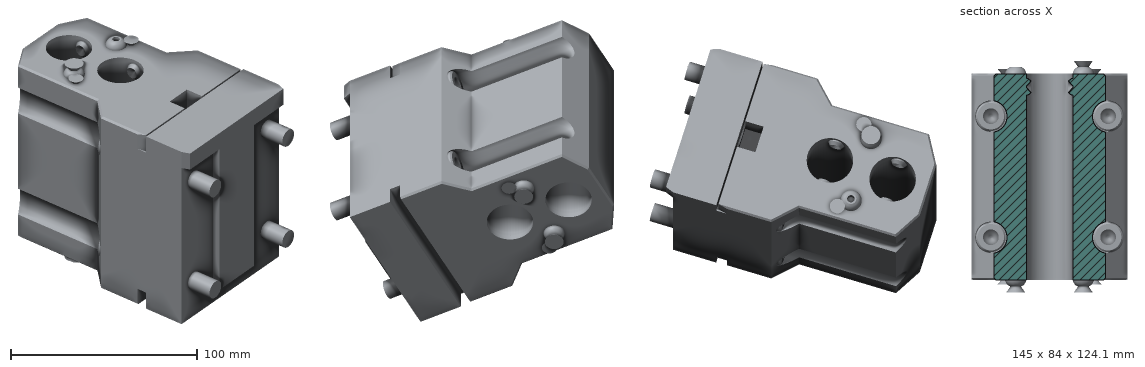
import cadquery as cq


overall_height = 124.1
body_height = 110.6
overall_width = 84.0
wide_half = overall_width / 2
neck_half = 30.0
nose_half = 15.0
nose_length = 8.7
flare_start = 63.1
flare_end = flare_start + wide_half - neck_half
mount_face = 130.2
edge_chamfer = 1.0
top = body_height / 2

slot_start = 99.9
slot_end = 106.0
slot_depth = 10.3
gap_width = 1.0
gap_start = slot_end - gap_width
relief_depth = 1.0
key_pocket_start = 94.7
key_pocket_width = 15.0
key_pocket_depth = 15.0

key_end = 134.7
key_corner = 1.7
rib_width = 2 * nose_half
rib_bottom = -45.4
stud_end = 145.0
stud_radius = 5.1

bore_radius = 12.5
bore_places = (19.9, 55.1)
tip_y = 9.9
tip_radius = 3.2
tip_cone_length = 1.9
tip_recess = 2.8
clamp_radius = 4.6
clamp_drop = 7.0
clamp_root_y = 14.5

screw_y = 31.5
screw_z = 32.5
groove_radius = 8.4
head_radius = 8.0
head_chamfer = 0.9
head_face = 70.5
groove_end = 74.0
socket_radius = 4.2
socket_depth = 2.9
socket_cone_depth = 2.5

nozzle_x = 37.7
nozzle_y = 18.1
dome_radius = 5.8
dome_height = 3.6
dome_flat = 2.9
dome_bulge = (5.0, 2.0)
flare_radius = 5.1
nozzle_height = (overall_height - body_height) / 2
nozzle_hole_radius = 2.0
nozzle_hole_depth = 4.4
plug_x = 43.5
plug_y = 23.9
plug_base = 1.9
plug_radius = 4.0
plug_height = 2.6

root = 0.7


def box(x_range, y_range, z_range):
    """Block spanning the given ranges."""
    size = [high - low for low, high in (x_range, y_range, z_range)]
    corner = (x_range[0], y_range[0], z_range[0])
    return cq.Workplane("XY").box(*size, centered=False).translate(corner)


def x_cylinder(radius, x_start, x_stop, y, z):
    """Cylinder along X."""
    plane = cq.Workplane("YZ", origin=(x_start, y, z))
    return plane.circle(radius).extrude(x_stop - x_start)


def make_body():
    """Nosed and flared front block, with chamfered ends, joined to a plain rear block."""
    half_outline = [
        (0, nose_half),
        (nose_length, neck_half),
        (flare_start, neck_half),
        (flare_end, wide_half),
        (slot_end, wide_half),
    ]
    other_half = [(x, -y) for x, y in reversed(half_outline)]
    front = (
        cq.Workplane("XY", origin=(0, 0, -top))
        .polyline(half_outline + other_half)
        .close()
        .extrude(body_height)
        .faces("<Z or >Z")
        .edges("not(>X)")
        .chamfer(edge_chamfer)
    )
    rear = box((slot_end, mount_face), (-wide_half, wide_half), (-top, top))
    return front.union(rear)


def cut_slots(body):
    """Open slot below; narrow gap, key pocket and tapered corners above."""
    full_width = (-wide_half, wide_half)
    upper = (top - slot_depth, top)
    body = body.cut(box((slot_start, slot_end), full_width, (-top, slot_depth - top)))
    body = body.cut(box((gap_start, slot_end), full_width, upper))
    pocket_half = key_pocket_width / 2
    pocket_z = (top - key_pocket_depth, top)
    body = body.cut(box((key_pocket_start, gap_start), (-pocket_half, pocket_half), pocket_z))
    for side in (-1, 1):
        corner = [
            (slot_start, side * wide_half),
            (gap_start, side * wide_half),
            (gap_start, side * (wide_half - relief_depth)),
        ]
        relief = cq.Workplane("XY", origin=(0, 0, upper[0])).polyline(corner).close()
        body = body.cut(relief.extrude(slot_depth))
    return body


def make_mounting_keys():
    """Full-width key with cut corners along the top and a narrower rib below it."""
    tip_half = wide_half - key_corner
    outline = [
        (mount_face, -wide_half),
        (key_end, -tip_half),
        (key_end, tip_half),
        (mount_face, wide_half),
    ]
    key_bottom = top - slot_depth
    key = cq.Workplane("XY", origin=(0, 0, key_bottom)).polyline(outline).close().extrude(slot_depth)
    rib = box((mount_face, key_end), (-rib_width / 2, rib_width / 2), (rib_bottom, key_bottom))
    return key.union(rib)


def make_screw_head(y, z):
    """Chamfered screw head at the end of its groove."""
    head = x_cylinder(head_radius, head_face, groove_end + root, y, z)
    return head.faces("<X").chamfer(head_chamfer)


def make_socket(y, z):
    """Round cone-bottomed socket to cut into a screw head."""
    profile = [
        (0, 0),
        (0, socket_radius),
        (socket_depth, socket_radius),
        (socket_depth + socket_cone_depth, 0),
    ]
    socket = cq.Workplane("XY").polyline(profile).close().revolve(360, (0, 0, 0), (1, 0, 0))
    return socket.translate((head_face, y, z))


def make_clamp_tip(x, side):
    """Screw tip, tapered and hollowed by a cone, standing out of the bore wall."""
    profile = [
        (0, tip_y + tip_recess),
        (tip_radius, tip_y),
        (clamp_radius, tip_y + tip_cone_length),
        (clamp_radius, clamp_root_y),
        (0, clamp_root_y),
    ]
    tip = cq.Workplane("XY").polyline(profile).close().revolve(360, (0, 0, 0), (0, 1, 0))
    if side < 0:
        tip = tip.mirror("XZ")
    return tip.translate((x, 0, top - clamp_drop))


def make_nozzle(flared):
    """Domed seat on Z = 0, either carrying a flared outlet or drilled at its flat."""
    dome = (
        cq.Workplane("XZ")
        .moveTo(0, -root)
        .lineTo(dome_radius, -root)
        .lineTo(dome_radius, 0)
        .threePointArc(dome_bulge, (dome_flat, dome_height))
        .lineTo(0, dome_height)
        .close()
        .revolve(360, (0, 0, 0), (0, 1, 0))
    )
    if not flared:
        hole = cq.Workplane("XY", origin=(0, 0, dome_height)).circle(nozzle_hole_radius)
        return dome.cut(hole.extrude(-nozzle_hole_depth))
    outlet = [(0, 0), (dome_flat, dome_height), (flare_radius, nozzle_height), (0, nozzle_height)]
    cone = cq.Workplane("XZ").polyline(outlet).close().revolve(360, (0, 0, 0), (0, 1, 0))
    return dome.union(cone)


def make_plug():
    """Upward-widening plug standing on Z = 0."""
    profile = [
        (0, -root),
        (plug_base, -root),
        (plug_base, 0),
        (plug_radius, plug_height),
        (0, plug_height),
    ]
    return cq.Workplane("XZ").polyline(profile).close().revolve(360, (0, 0, 0), (0, 1, 0))


result = cut_slots(make_body()).union(make_mounting_keys())

for bore_x in bore_places:
    bore = cq.Workplane("XY", origin=(bore_x, 0, -top)).circle(bore_radius).extrude(body_height)
    result = result.cut(bore)
    for side in (-1, 1):
        result = result.union(make_clamp_tip(bore_x, side))

for y in (-screw_y, screw_y):
    for z in (-screw_z, screw_z):
        result = result.cut(x_cylinder(groove_radius, 0, groove_end, y, z))
        result = result.union(make_screw_head(y, z))
        result = result.cut(make_socket(y, z))
        result = result.union(x_cylinder(stud_radius, mount_face - root, stud_end, y, z))

for side in (-1, 1):
    for end in (-1, 1):
        drilled = side > 0 and end > 0
        nozzle = make_nozzle(flared=not drilled).translate((nozzle_x, side * nozzle_y, top))
        plug = make_plug().translate((plug_x, side * plug_y, top))
        fittings = nozzle.union(plug)
        if end < 0:
            fittings = fittings.mirror("XY")
        result = result.union(fittings)